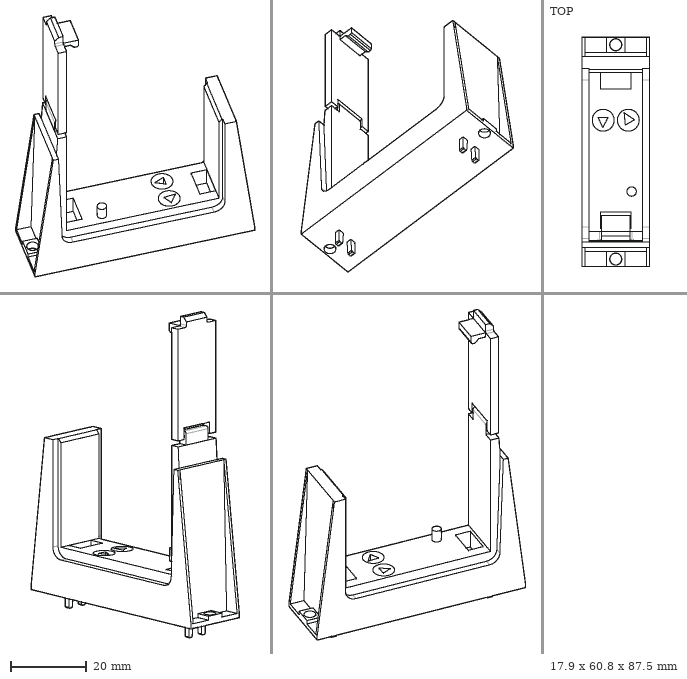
import cadquery as cq

width = 17.9
length = 60.8
foot_height = 1.32
wall_top_z = 42.4
wall_top_length = 50.7
channel_floor_z = 10.1
channel_fillet = 3.0
channel_rear_y = 22.1
channel_front_foot_y = -22.8
channel_front_top_y = -23.9

lining_width = 14.05
lining_floor_z = 12.9
lining_face_y = 21.07
rear_lip_depth = 0.8
rear_lip_height = 1.0
front_wall_top_z = 48.15
front_wall_top_y = -23.55

flange_thickness = 0.85
recess_floor_z = foot_height
recess_foot_y = 26.4
boss_width = 5.0
boss_top_z = 2.37
screw_hole_diameter = 3.1
screw_hole_y = 28.4

pocket_width = 8.2
pocket_length = 4.35
pocket_depth = 5.0
rear_pocket_y = 18.83
front_pocket_y = -18.1

knuckle_width = 8.15
knuckle_top_z = 51.9
knuckle_outer_y = -23.5
knuckle_fillet = 0.65
hinge_bar_radius = 0.65

lid_thickness = 2.35
lid_bottom_z = 49.75
lid_shoulder_z = 80.25
lid_top_z = 82.8
lid_tab_width = 7.65
lid_tab_chamfer = 1.1
lid_tab_fillet = 0.5
window_width = 9.3
window_top_z = 52.9
lid_inner_y = -lining_face_y
lid_middle_y = lid_inner_y - lid_thickness / 2
hinge_z = lid_bottom_z + hinge_bar_radius

hook_reach = 4.25
hook_arm_thickness = 1.35
hook_drop = 2.45
hook_tip_flat = 0.75
hook_tip_bevel = 0.4

button_radius = 2.9
button_depth = 3.0
button_x = 3.33
button_y = 8.4
led_diameter = 2.5
led_height = 3.4
led_x = 4.2
led_y = -10.5
pin_outer_x = 3.06
pin_root_width = 1.65
pin_tip_width = 1.35
pin_thickness = 1.4
pin_length = 4.7
pin_y = 22.8
pin_tip_bevel = 0.3

selection_margin = 0.5


def side_profile(points, thickness):
    """Solid from a closed (Y, Z) outline, centred on X = 0."""
    return cq.Workplane("YZ").polyline(points).close().extrude(thickness / 2, both=True)


def make_shell():
    half_foot = length / 2
    half_top = wall_top_length / 2
    outline = [
        (-half_foot, 0),
        (half_foot, 0),
        (half_foot, foot_height),
        (half_top, wall_top_z),
        (channel_rear_y, wall_top_z),
        (channel_rear_y, channel_floor_z),
        (channel_front_foot_y, channel_floor_z),
        (channel_front_top_y, wall_top_z),
        (-half_top, wall_top_z),
        (-half_foot, foot_height),
    ]
    shell = side_profile(outline, width)
    corner_box = cq.selectors.BoxSelector(
        (-width, channel_front_foot_y - selection_margin, channel_floor_z - selection_margin),
        (width, channel_rear_y + selection_margin, channel_floor_z + selection_margin),
    )
    return shell.edges("|X").edges(corner_box).fillet(channel_fillet)


def make_lining():
    root_z = channel_floor_z / 2
    outline = [
        (channel_front_top_y, root_z),
        (channel_rear_y, root_z),
        (channel_rear_y, wall_top_z),
        (lining_face_y + rear_lip_depth, wall_top_z),
        (lining_face_y, wall_top_z - rear_lip_height),
        (lining_face_y, lining_floor_z),
        (-lining_face_y, lining_floor_z),
        (-lining_face_y, front_wall_top_z),
        (front_wall_top_y, front_wall_top_z),
        (channel_front_top_y, wall_top_z),
    ]
    return side_profile(outline, lining_width)


def make_end_recess():
    """Wedge-shaped recess of the rear end face."""
    half_foot = length / 2
    outline = [
        (recess_foot_y, recess_floor_z),
        (half_foot, recess_floor_z),
        (half_foot, wall_top_z),
        (wall_top_length / 2, wall_top_z),
    ]
    return side_profile(outline, width - 2 * flange_thickness)


def make_knuckle():
    """Hinge eye on top of the front wall, bored for the bar of the lid."""
    depth = -lining_face_y - knuckle_outer_y
    knuckle = (
        cq.Workplane("XY", origin=(0, knuckle_outer_y + depth / 2, front_wall_top_z))
        .box(knuckle_width, depth, knuckle_top_z - front_wall_top_z, centered=(True, True, False))
        .edges("|X and >Z")
        .fillet(knuckle_fillet)
    )
    return knuckle.cut(make_hinge_bar())


def make_hinge_bar():
    return (
        cq.Workplane("YZ")
        .center(lid_middle_y, hinge_z)
        .circle(hinge_bar_radius)
        .extrude(window_width / 2, both=True)
    )


def make_button_blank(x):
    return (
        cq.Workplane("XY", origin=(x, button_y, lining_floor_z - button_depth))
        .circle(button_radius)
        .extrude(button_depth)
    )


def make_button(x, arrow_points):
    """Flush round button with a triangular arrow cut through it."""
    arrow = (
        cq.Workplane("XY", origin=(x, button_y, lining_floor_z - button_depth))
        .polyline(arrow_points)
        .close()
        .extrude(button_depth)
    )
    return make_button_blank(x).cut(arrow)


def make_housing():
    housing = make_shell().union(make_lining())

    rear_recess = make_end_recess()
    housing = housing.cut(rear_recess).cut(rear_recess.mirror("XZ"))
    boss_bar = cq.Workplane("XY").box(boss_width, length, boss_top_z, centered=(True, True, False))
    housing = housing.union(boss_bar)
    screw_holes = (
        cq.Workplane("XY")
        .pushPoints([(0, -screw_hole_y), (0, screw_hole_y)])
        .circle(screw_hole_diameter / 2)
        .extrude(boss_top_z)
    )
    housing = housing.cut(screw_holes)

    pockets = (
        cq.Workplane("XY", origin=(0, 0, lining_floor_z - pocket_depth))
        .pushPoints([(0, front_pocket_y), (0, rear_pocket_y)])
        .rect(pocket_width, pocket_length)
        .extrude(pocket_depth)
    )
    housing = housing.cut(pockets)

    for x in (-button_x, button_x):
        housing = housing.cut(make_button_blank(x))
    return housing.union(make_knuckle())


def make_hook():
    tip_y = lid_inner_y + hook_reach
    tip_z = lid_shoulder_z - hook_drop
    arm_z = lid_shoulder_z - hook_arm_thickness
    flat_start_y = tip_y - hook_tip_bevel
    flat_end_y = flat_start_y - hook_tip_flat
    outline = [
        (lid_inner_y, lid_shoulder_z),
        (tip_y, lid_shoulder_z),
        (tip_y, tip_z + hook_tip_bevel),
        (flat_start_y, tip_z),
        (flat_end_y, tip_z),
        (flat_end_y - (arm_z - tip_z), arm_z),
        (lid_inner_y, arm_z),
    ]
    return side_profile(outline, lid_tab_width)


def make_lid():
    half_panel = lining_width / 2
    half_tab = lid_tab_width / 2
    half_window = window_width / 2
    outline = [
        (-half_panel, lid_bottom_z),
        (-half_window, lid_bottom_z),
        (-half_window, window_top_z),
        (half_window, window_top_z),
        (half_window, lid_bottom_z),
        (half_panel, lid_bottom_z),
        (half_panel, lid_shoulder_z),
        (half_tab, lid_shoulder_z),
        (half_tab, lid_top_z),
        (-half_tab, lid_top_z),
        (-half_tab, lid_shoulder_z),
        (-half_panel, lid_shoulder_z),
    ]
    panel = (
        cq.Workplane("XZ", origin=(0, lid_inner_y, 0))
        .polyline(outline)
        .close()
        .extrude(lid_thickness)
    )
    panel = panel.edges(">Z").edges("<Y").chamfer(lid_tab_chamfer)

    tab_roots = cq.selectors.BoxSelector(
        (-half_tab - selection_margin, lid_inner_y - lid_thickness, lid_shoulder_z - selection_margin),
        (half_tab + selection_margin, lid_inner_y, lid_shoulder_z + selection_margin),
    )
    panel = panel.edges("|Y").edges(tab_roots).fillet(lid_tab_fillet)
    return panel.union(make_hinge_bar()).union(make_hook())


def make_led():
    return (
        cq.Workplane("XY", origin=(led_x, led_y, lining_floor_z))
        .circle(led_diameter / 2)
        .extrude(led_height)
    )


def make_pin(side, y):
    """Contact pin below the base; side is -1 or +1 along X, the inner flank tapers."""
    tip_inner_x = pin_outer_x - pin_tip_width
    outline = [
        (side * pin_outer_x, 0),
        (side * pin_outer_x, pin_tip_bevel - pin_length),
        (side * (pin_outer_x - pin_tip_bevel), -pin_length),
        (side * (tip_inner_x + pin_tip_bevel), -pin_length),
        (side * tip_inner_x, pin_tip_bevel - pin_length),
        (side * (pin_outer_x - pin_root_width), 0),
    ]
    return (
        cq.Workplane("XZ", origin=(0, y, 0))
        .polyline(outline)
        .close()
        .extrude(pin_thickness / 2, both=True)
    )


front_arrow = [(-1.35, 0.75), (1.3, 0.75), (-0.1, -1.95)]
side_arrow = [(-1.1, 2.0), (-0.8, -1.25), (1.65, 0.1)]

housing = make_housing()
lid = make_lid()
left_button = make_button(-button_x, front_arrow)
right_button = make_button(button_x, side_arrow)
led = make_led()
pins = [make_pin(side, y) for side in (-1, 1) for y in (-pin_y, pin_y)]

result = cq.Compound.makeCompound([
    housing.val(),
    lid.val(),
    left_button.val(),
    right_button.val(),
    led.val(),
    *[pin.val() for pin in pins],
])